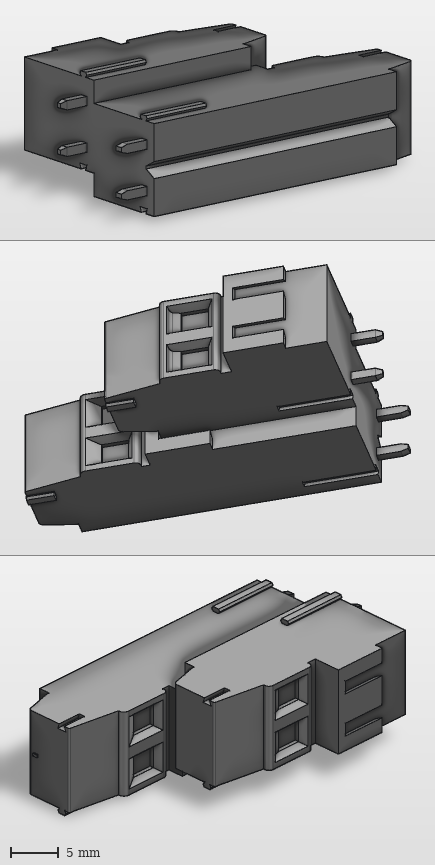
import cadquery as cq

POLE_PITCH = 5.08
POLES = 2
MODULE_THICK = POLE_PITCH * POLES
MODULE_PITCH = 10.15
REAR_RIGHT = 22.8
FRONT_RIGHT = REAR_RIGHT - MODULE_PITCH
STAGGER_Z = POLE_PITCH / 2
FRONT_HEIGHT = 25.2
REAR_HEIGHT = 36.65

FLANGE_X = 10.08
NECK_X = 9.25
TOP_LEFT_X = 8.25
TOP_RIGHT_X = 2.35
SHOULDER_X = 1.37
SHOULDER_DROP = 4.0
SHOULDER_RISE = 0.32
FLANGE_TOP_DROP = 6.35
FLANGE_BOTTOM_DROP = 13.0
FLANGE_BOTTOM_ROUND = 0.6
FRONT_FLANGE_TOP_ROUND = 0.6
REAR_FLANGE_TOP_ROUND = 0.73
TOP_LEFT_ROUND = 0.2
TOP_RIGHT_ROUND = 0.5

FRONT_ENTRY_TOP_DROP = 7.3
REAR_ENTRY_TOP_DROP = 7.15
ENTRY_BOTTOM_DROP = 12.2
ENTRY_FLOOR_TOP_DROP = 8.62
ENTRY_FLOOR_BOTTOM_DROP = 11.6
ENTRY_HALF_Z = 1.8
ENTRY_FLOOR_BELOW = 1.35
ENTRY_FLOOR_ABOVE = 1.2
FUNNEL_DEPTH = 0.8
ENTRY_DEPTH = 1.3
LIP_DROP = 0.1
LIP_DEPTH = 0.15
LIP_END_DROP = 0.5
LIP_END_DEPTH = 0.65
LIP_MID_DROP = 0.2
LIP_MID_DEPTH = 0.45

FRONT_FOOT_LEFT = 0.95
FRONT_BASE_LEFT = 0.0
FRONT_BASE_TOP = 11.05
FRONT_BASE_BOTTOM = 4.47
FRONT_SLOT_TOP = 10.0
REAR_FOOT_LEFT = FRONT_RIGHT
REAR_BASE_LEFT = 11.55
REAR_BASE_TOP = 22.7
REAR_BASE_BOTTOM = 15.65
REAR_SLOT_TOP = 21.25
SLOT_MOUTH_HALF = 0.75
SLOT_BASE_HALF = 1.25

RAIL_HEIGHT = 0.6
TOP_RAIL_HEIGHT = 0.55
RAIL_NECK = 0.75
RAIL_WIDTH = 1.15
RAIL_TIP = 0.85
LONG_RAIL_X = 1.77
LONG_RAIL_LENGTH = 8.0
SHORT_RAIL_X = 7.17
SHORT_RAIL_LENGTH = 3.02

V_DEPTH = 1.35
V_MOUTH_HALF = 0.93
V_FLOOR_HALF = 0.15

PIN_X = 1.6
PIN_WIDTH = 0.9
PIN_THICK = 1.0
PIN_TAPER_START = 2.65
PIN_TIP = 0.52
FRONT_PIN_LENGTH = 3.4
REAR_PIN_LENGTH = 3.45
PIN_EMBED = 0.8

NIB_WIDTH = 0.6
NIB_THICK = 0.32
NIB_RISE = 0.2
REAR_NIB_X = 3.4
FRONT_NIB_X = 2.15
FRONT_NIB_DROP = 0.7


def prism(points, z_low, z_high):
    """Polygon in XY extruded between two Z levels."""
    return cq.Workplane("XY").workplane(offset=z_low).polyline(points).close().extrude(z_high - z_low)


def bar(points, y_low, y_high):
    """Polygon in XZ extruded between two Y levels."""
    return cq.Workplane("XZ").workplane(offset=-y_low).polyline(points).close().extrude(y_low - y_high)


def pole_centres(z_low):
    return [z_low + POLE_PITCH * (pole + 0.5) for pole in range(POLES)]


def module_body(right, height, z_low, foot_left, base_left, base_top, base_bottom, flange_top_round):
    """Outline of one module with a wide base between base_bottom and base_top."""
    flange = right - FLANGE_X
    neck = right - NECK_X
    flange_top = height - FLANGE_TOP_DROP
    flange_bottom = height - FLANGE_BOTTOM_DROP
    shoulder = right - SHOULDER_X
    shoulder_y = height - SHOULDER_DROP
    outline = [
        (right, 0), (foot_left, 0), (foot_left, base_bottom), (base_left, base_bottom),
        (base_left, base_top), (neck, base_top), (neck, flange_bottom), (flange, flange_bottom),
        (flange, flange_top), (neck, flange_top), (right - TOP_LEFT_X, height),
        (right - TOP_RIGHT_X, height), (shoulder, shoulder_y + SHOULDER_RISE), (shoulder, shoulder_y),
        (right, shoulder_y),
    ]
    body = prism(outline, z_low, z_low + MODULE_THICK)
    rounds = [
        (flange, flange_bottom, FLANGE_BOTTOM_ROUND),
        (flange, flange_top, flange_top_round),
        (right - TOP_LEFT_X, height, TOP_LEFT_ROUND),
        (right - TOP_RIGHT_X, height, TOP_RIGHT_ROUND),
    ]
    for x, y, radius in rounds:
        corner = cq.selectors.NearestToPointSelector((x, y, z_low + MODULE_THICK / 2))
        body = body.edges("|Z").edges(corner).fillet(radius)
    return body


def base_slots(z_low, foot_left, base_left, base_bottom, slot_top):
    """Dovetail slots, one per pole, as deep as the step between base and foot."""
    slots = cq.Workplane("XY")
    for z in pole_centres(z_low):
        section = [
            (base_left, z - SLOT_MOUTH_HALF), (foot_left, z - SLOT_BASE_HALF),
            (foot_left, z + SLOT_BASE_HALF), (base_left, z + SLOT_MOUTH_HALF),
        ]
        slots = slots.add(bar(section, base_bottom, slot_top))
    return slots.combine()


def entry_outline(face, height, top_drop, with_lip):
    """XY section of a wire entry opening in the clamp face."""
    outline = (
        cq.Workplane("XY")
        .moveTo(face, height - ENTRY_BOTTOM_DROP)
        .lineTo(face + FUNNEL_DEPTH, height - ENTRY_FLOOR_BOTTOM_DROP)
        .lineTo(face + ENTRY_DEPTH, height - ENTRY_FLOOR_BOTTOM_DROP)
        .lineTo(face + ENTRY_DEPTH, height - ENTRY_FLOOR_TOP_DROP)
        .lineTo(face + FUNNEL_DEPTH, height - ENTRY_FLOOR_TOP_DROP)
    )
    top = height - top_drop
    if with_lip:
        outline = outline.lineTo(face + LIP_END_DEPTH, top - LIP_END_DROP).threePointArc(
            (face + LIP_MID_DEPTH, top - LIP_MID_DROP), (face + LIP_DEPTH, top - LIP_DROP)
        )
    return outline.lineTo(face, top).close()


def wire_entries(right, height, z_low, top_drop, with_lip):
    """One tapered entry per pole: the XY section limited by sloping lower and upper walls."""
    face = right - FLANGE_X
    entries = cq.Workplane("XY")
    for z in pole_centres(z_low):
        walls = [
            (face, z - ENTRY_HALF_Z), (face + FUNNEL_DEPTH, z - ENTRY_FLOOR_BELOW),
            (face + ENTRY_DEPTH, z - ENTRY_FLOOR_BELOW), (face + ENTRY_DEPTH, z + ENTRY_FLOOR_ABOVE),
            (face + FUNNEL_DEPTH, z + ENTRY_FLOOR_ABOVE), (face, z + ENTRY_HALF_Z),
        ]
        limit = bar(walls, 0, height)
        section = entry_outline(face, height, top_drop, with_lip).extrude(z_low + MODULE_THICK)
        entries = entries.add(section.intersect(limit))
    return entries.combine()


def rail(x, z, height, y_low, y_high):
    """Coupling rail flaring out of the side face at z; a negative height points down."""
    half_neck, half_width, half_tip = RAIL_NECK / 2, RAIL_WIDTH / 2, RAIL_TIP / 2
    section = [
        (x - half_neck, z), (x - half_width, z + height / 2), (x - half_tip, z + height),
        (x + half_tip, z + height), (x + half_width, z + height / 2), (x + half_neck, z),
    ]
    return bar(section, y_low, y_high)


def groove(x, z, depth, y_low, y_high):
    """Dovetail groove running into the side face at z; a negative depth points down."""
    half_mouth, half_floor = RAIL_NECK / 2, RAIL_WIDTH / 2
    section = [
        (x - half_mouth, z), (x - half_floor, z + depth), (x + half_floor, z + depth), (x + half_mouth, z),
    ]
    return bar(section, y_low, y_high)


def pins(right, z_low, length, taper_in_x):
    """Solder pins with a tip tapered in Z, and also in X where asked."""
    x = right - PIN_X
    tip_width = PIN_TIP if taper_in_x else PIN_WIDTH
    group = cq.Workplane("XY")
    for z in pole_centres(z_low):
        shank = (
            cq.Workplane("XZ", origin=(x, PIN_EMBED, z))
            .rect(PIN_WIDTH, PIN_THICK)
            .extrude(PIN_EMBED + PIN_TAPER_START)
        )
        tip = (
            cq.Workplane("XZ", origin=(x, -PIN_TAPER_START, z))
            .rect(PIN_WIDTH, PIN_THICK)
            .workplane(offset=length - PIN_TAPER_START)
            .rect(tip_width, PIN_TIP)
            .loft(ruled=True)
        )
        group = group.add(shank.union(tip))
    return group.combine()


def nib(x, y_top, z_low):
    """Small mark halfway between the poles, sunk into the end of the module."""
    size_y = 2 * NIB_RISE
    centre = (x, y_top - size_y / 2, z_low + MODULE_THICK / 2)
    return cq.Workplane("XY").box(NIB_WIDTH, size_y, NIB_THICK).translate(centre)


def module(
    right, height, z_low, base, slot_top, flange_top_round,
    entry_top_drop, with_lip, pin_length, pin_taper_in_x,
):
    """Complete module; base is (foot left, base left, base top, base bottom)."""
    foot_left, base_left, base_top, base_bottom = base
    z_high = z_low + MODULE_THICK
    long_x = right - LONG_RAIL_X
    short_x = right - SHORT_RAIL_X
    short_start = height - SHORT_RAIL_LENGTH
    return (
        module_body(right, height, z_low, *base, flange_top_round)
        .cut(base_slots(z_low, foot_left, base_left, base_bottom, slot_top))
        .cut(wire_entries(right, height, z_low, entry_top_drop, with_lip))
        .cut(groove(long_x, z_low, RAIL_HEIGHT, 0, LONG_RAIL_LENGTH))
        .cut(groove(short_x, z_high, -RAIL_HEIGHT, short_start, height))
        .union(rail(long_x, z_high, TOP_RAIL_HEIGHT, 0, LONG_RAIL_LENGTH))
        .union(rail(short_x, z_low, -RAIL_HEIGHT, short_start, height))
        .union(pins(right, z_low, pin_length, pin_taper_in_x))
    )


front_base = (FRONT_FOOT_LEFT, FRONT_BASE_LEFT, FRONT_BASE_TOP, FRONT_BASE_BOTTOM)
rear_base = (REAR_FOOT_LEFT, REAR_BASE_LEFT, REAR_BASE_TOP, REAR_BASE_BOTTOM)

front_module = module(
    right=FRONT_RIGHT,
    height=FRONT_HEIGHT,
    z_low=STAGGER_Z,
    base=front_base,
    slot_top=FRONT_SLOT_TOP,
    flange_top_round=FRONT_FLANGE_TOP_ROUND,
    entry_top_drop=FRONT_ENTRY_TOP_DROP,
    with_lip=True,
    pin_length=FRONT_PIN_LENGTH,
    pin_taper_in_x=True,
).union(nib(FRONT_RIGHT - FRONT_NIB_X, FRONT_HEIGHT - FRONT_NIB_DROP, STAGGER_Z))

rear_module = module(
    right=REAR_RIGHT,
    height=REAR_HEIGHT,
    z_low=0,
    base=rear_base,
    slot_top=REAR_SLOT_TOP,
    flange_top_round=REAR_FLANGE_TOP_ROUND,
    entry_top_drop=REAR_ENTRY_TOP_DROP,
    with_lip=False,
    pin_length=REAR_PIN_LENGTH,
    pin_taper_in_x=False,
).union(nib(REAR_RIGHT - REAR_NIB_X, REAR_HEIGHT + NIB_RISE, 0))

v_middle = MODULE_THICK / 2
v_section = [
    (REAR_RIGHT, v_middle - V_MOUTH_HALF), (REAR_RIGHT - V_DEPTH, v_middle - V_FLOOR_HALF),
    (REAR_RIGHT - V_DEPTH, v_middle + V_FLOOR_HALF), (REAR_RIGHT, v_middle + V_MOUTH_HALF),
]
v_groove = bar(v_section, 0, REAR_HEIGHT)

result = front_module.union(rear_module.cut(v_groove))